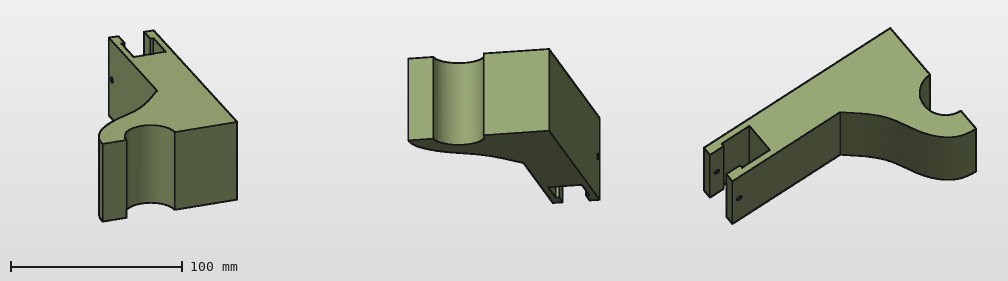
import cadquery as cq
import math

bar_length = 135.0
bar_width = 28.0
height = 50.0

slot_depth = 30.0
slot_width = 20.0
lip_length = 10.0
lip_gap = 16.0
pin_diameter = 3.3
pin_from_end = 5.0

cradle_offset = 54.0
cradle_radius = 15.0
arm_radius = 30.0

flank_start = (78.0, -bar_width)
flank_start_slope = math.radians(-40.0)
flank_middle = (99.0, -49.2)
inflection_angle = math.radians(-155.0)
tip_angle = math.radians(-90.0)

bar_middle_y = -bar_width / 2
cradle_centre = (bar_length, -cradle_offset)


def block_from_end(length, width):
    """Full-height block along the middle of the bar, starting at the slotted end."""
    block = cq.Workplane("XY").box(length, width, height, centered=(False, True, False))
    return block.translate((0, bar_middle_y, 0))


def arm_end_point(angle):
    """Point on the rounded arm end, at an angle about the cradle axis."""
    x = cradle_centre[0] + arm_radius * math.cos(angle)
    y = cradle_centre[1] + arm_radius * math.sin(angle)
    return (x, y)


def make_arm():
    """Arm that curves out from the bar and wraps around the cradle at its end."""
    flank_points = [
        flank_start,
        flank_middle,
        arm_end_point(inflection_angle),
        arm_end_point((inflection_angle + tip_angle) / 2),
        arm_end_point(tip_angle),
    ]
    start_direction = (math.cos(flank_start_slope), math.sin(flank_start_slope))
    tip_direction = (1, 0)
    return (
        cq.Workplane("XY")
        .moveTo(bar_length, -bar_width)
        .lineTo(*flank_start)
        .spline(flank_points[1:], tangents=[start_direction, tip_direction], includeCurrent=True)
        .close()
        .extrude(height)
    )


def make_cradle():
    return cq.Workplane("XY").center(*cradle_centre).circle(cradle_radius).extrude(height)


def make_pin_hole():
    """Hole along Y through both lips at mid-height."""
    return (
        cq.Workplane("XZ")
        .center(pin_from_end, height / 2)
        .circle(pin_diameter / 2)
        .extrude(bar_width)
    )


bar = block_from_end(bar_length, bar_width)
lip_opening = block_from_end(lip_length, lip_gap)
slot = block_from_end(slot_depth - lip_length, slot_width).translate((lip_length, 0, 0))

result = (
    bar.union(make_arm())
    .cut(make_cradle())
    .cut(lip_opening)
    .cut(slot)
    .cut(make_pin_hole())
)